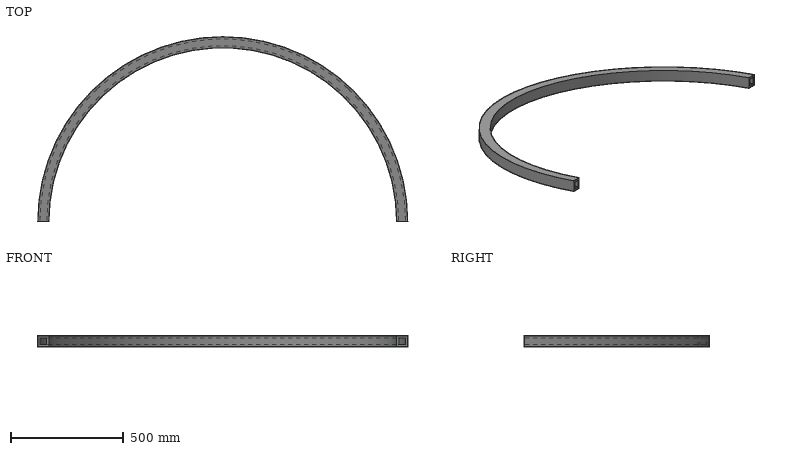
import cadquery as cq

OUTER_RADIUS = 825.0
TUBE_SIDE = 50.0
WALL = 10.0
CENTRE_RADIUS = OUTER_RADIUS - TUBE_SIDE / 2
SWEEP_ANGLE = 180.0


def half_ring(side):
    """Solid half-ring of square section, bent about the Z axis on the +Y side."""
    return (
        cq.Workplane("XZ")
        .center(CENTRE_RADIUS, 0)
        .rect(side, side)
        .revolve(SWEEP_ANGLE, (-CENTRE_RADIUS, 0), (-CENTRE_RADIUS, 1))
    )


bore_side = TUBE_SIDE - 2 * WALL
result = half_ring(TUBE_SIDE).cut(half_ring(bore_side))